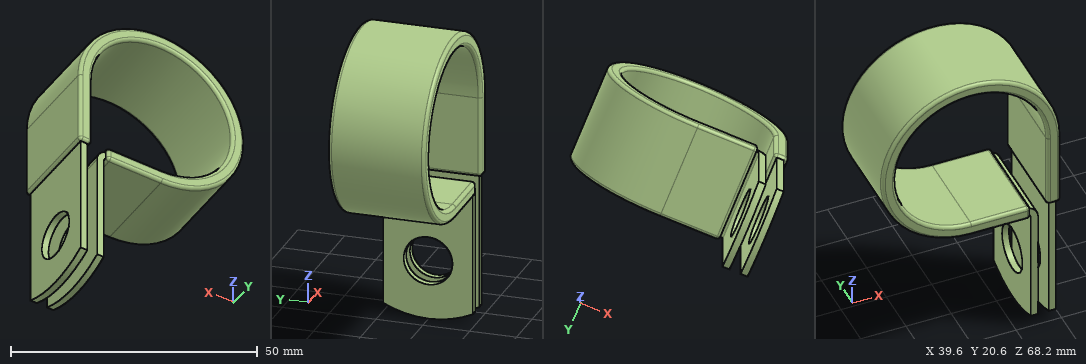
import cadquery as cq
import math


total_height = 68.2
loop_radius = 19.8
strap_thickness = 1.6
strap_width = 19.15
cushion_cover = 0.75
wall_drop = 17.4
floor_length = 13.1
leg_outer_x = 15.1
bend_radius = 2.85
hole_diameter = 10.35
hole_height = 12.7
tip_rise = 2.2

cushion_thickness = strap_thickness + 2 * cushion_cover
cushion_width = strap_width + 2 * cushion_cover
edge_radius = cushion_cover
inner_radius = loop_radius - cushion_thickness
tip_z = loop_radius - total_height
strap_top_z = -(inner_radius + cushion_cover)
strap_right_x = loop_radius - cushion_cover
bend_inner_radius = bend_radius - strap_thickness
bend_x = leg_outer_x - bend_radius
bend_z = strap_top_z - bend_radius
embed = strap_thickness


def extrude_across(profile, width):
    """Extrude an XZ profile symmetrically along Y."""
    return profile.extrude(width / 2, both=True)


def make_cushion():
    """Three-quarter loop with straight ends and rounded edges."""
    diagonal = math.sqrt(0.5)
    profile = (
        cq.Workplane("XZ")
        .moveTo(loop_radius, -wall_drop)
        .lineTo(loop_radius, 0)
        .threePointArc((-loop_radius * diagonal, loop_radius * diagonal), (0, -loop_radius))
        .lineTo(floor_length, -loop_radius)
        .lineTo(floor_length, -inner_radius)
        .lineTo(0, -inner_radius)
        .threePointArc((-inner_radius * diagonal, inner_radius * diagonal), (inner_radius, 0))
        .lineTo(inner_radius, -wall_drop)
        .close()
    )
    cushion = extrude_across(profile, cushion_width)
    middle_radius = loop_radius - cushion_thickness / 2
    wall_end = cq.selectors.NearestToPointSelector((middle_radius, 0, -wall_drop))
    floor_end = cq.selectors.NearestToPointSelector((floor_length, 0, -middle_radius))
    rounded_edges = (
        cushion.edges("#Y")
        .add(cushion.faces(wall_end).edges("|Y"))
        .add(cushion.faces(floor_end).edges("|Y"))
    )
    return rounded_edges.fillet(edge_radius)


def make_straight_leg():
    """Leg that continues straight down from the loop."""
    left_x = strap_right_x - strap_thickness
    profile = (
        cq.Workplane("XZ")
        .moveTo(left_x, tip_z)
        .lineTo(strap_right_x, tip_z)
        .lineTo(strap_right_x, embed - wall_drop)
        .lineTo(left_x, embed - wall_drop)
        .close()
    )
    return extrude_across(profile, strap_width)


def make_bent_leg():
    """Leg that leaves the loop sideways and bends down."""
    start_x = floor_length - embed
    profile = (
        cq.Workplane("XZ")
        .moveTo(start_x, strap_top_z)
        .lineTo(bend_x, strap_top_z)
        .radiusArc((leg_outer_x, bend_z), bend_radius)
        .lineTo(leg_outer_x, tip_z)
        .lineTo(leg_outer_x - strap_thickness, tip_z)
        .lineTo(leg_outer_x - strap_thickness, bend_z)
        .radiusArc((bend_x, bend_z + bend_inner_radius), -bend_inner_radius)
        .lineTo(start_x, bend_z + bend_inner_radius)
        .close()
    )
    return extrude_across(profile, strap_width)


def make_leg_outline():
    """Block along X with the arched tip and bolt hole shared by both legs."""
    half_width = strap_width / 2
    corner_z = tip_z + tip_rise
    return (
        cq.Workplane("YZ")
        .moveTo(-half_width, 0)
        .lineTo(-half_width, corner_z)
        .threePointArc((0, tip_z), (half_width, corner_z))
        .lineTo(half_width, 0)
        .close()
        .moveTo(0, tip_z + hole_height)
        .circle(hole_diameter / 2)
        .extrude(loop_radius)
    )


legs = make_straight_leg().union(make_bent_leg()).intersect(make_leg_outline())
result = make_cushion().union(legs)